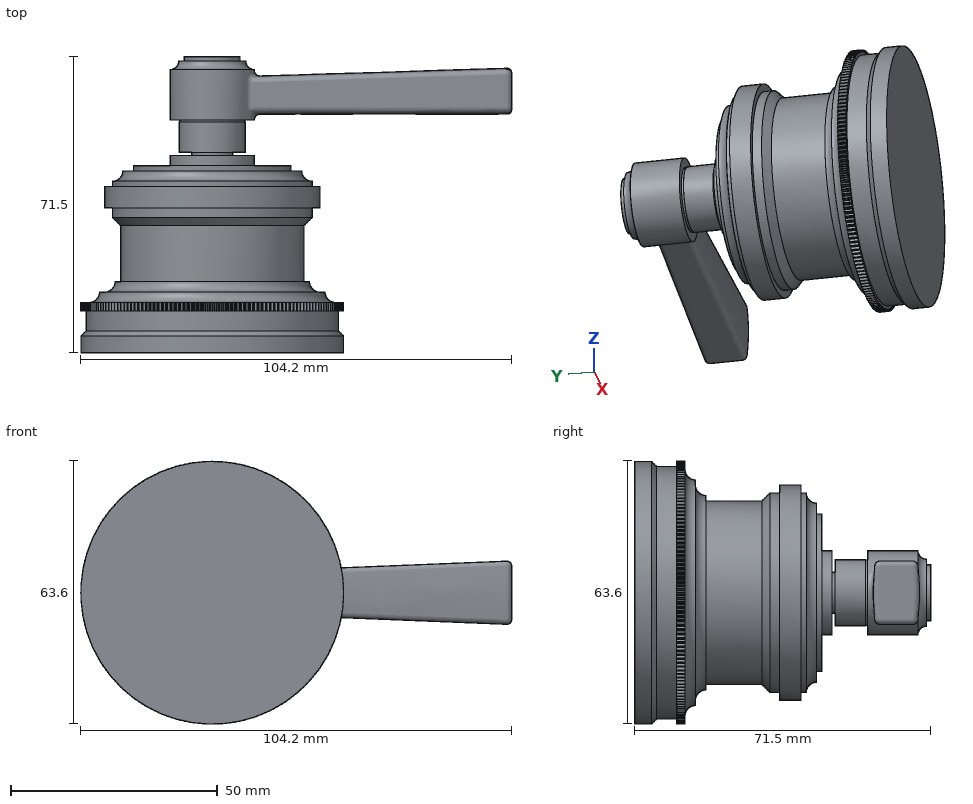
import cadquery as cq
import math


base_radius = 31.8
base_rim_end = 4.1
base_groove_depth = 1.2
base_bevel_end = base_rim_end + base_groove_depth
base_groove_radius = base_radius - base_groove_depth

ring_start = 10.1
ring_width = 2.1
ring_end = ring_start + ring_width
tooth_count = 180
tooth_depth = 0.5
tooth_flat_share = 0.15

cove_radius = 2.5
cove_step = 1.2
barrel_cove_radius = 23.5
outer_cove_radius = barrel_cove_radius + cove_radius + cove_step
outer_cove_end = ring_end + cove_radius
barrel_cove_end = outer_cove_end + cove_radius
barrel_radius = 22.2
barrel_end = 30.7

shoulder_radius = 24.2
shoulder_bevel = shoulder_radius - barrel_radius
collar_radius = 26.0
disc_thickness = 1.2
collar_start = 35.0
collar_end = 40.2
shoulder_start = barrel_end + shoulder_bevel
shoulder_end = collar_end + disc_thickness
top_cove_end = shoulder_end + cove_radius
top_disc_radius = 19.1
top_disc_end = top_cove_end + disc_thickness

flange_radius = 10.2
flange_end = 47.7
neck_radius = 5.0
neck_end = 48.4
stem_radius = 8.0
stem_end = 55.7
undercut_radius = 7.9

hub_radius = 10.2
hub_start = 56.2
hub_end = 68.4
hub_cove_radius = 2.1
hub_cove_end = hub_end + hub_cove_radius
cap_radius = 6.8
cap_end = 71.5

lever_tip = 72.4
lever_front = 57.6
lever_root_back = 66.5
lever_tip_back = 68.8
lever_root_half_height = 4.8
lever_tip_half_height = 7.7
lever_crown = 0.5
lever_edge_radius = 1.2
lever_root_fillet = 1.2

joint_margin = 0.1


def cove(profile, start_radius, start_y, radius):
    """Continue a profile with a concave quarter round, inwards and towards +Y."""
    sag = radius * (1 - math.sqrt(0.5))
    middle = (start_radius - radius + sag, start_y + sag)
    return profile.threePointArc(middle, (start_radius - radius, start_y + radius))


def make_body():
    profile = (
        cq.Workplane("XY")
        .lineTo(base_radius, 0)
        .lineTo(base_radius, base_rim_end)
        .lineTo(base_groove_radius, base_bevel_end)
        .lineTo(base_groove_radius, ring_end)
        .lineTo(outer_cove_radius + cove_radius, ring_end)
    )
    profile = cove(profile, outer_cove_radius + cove_radius, ring_end, cove_radius)
    profile = profile.lineTo(barrel_cove_radius + cove_radius, outer_cove_end)
    profile = cove(profile, barrel_cove_radius + cove_radius, outer_cove_end, cove_radius)
    profile = (
        profile.lineTo(barrel_radius, barrel_cove_end)
        .lineTo(barrel_radius, barrel_end)
        .lineTo(shoulder_radius, shoulder_start)
        .lineTo(shoulder_radius, collar_start)
        .lineTo(collar_radius, collar_start)
        .lineTo(collar_radius, collar_end)
        .lineTo(shoulder_radius, collar_end)
        .lineTo(shoulder_radius, shoulder_end)
    )
    profile = cove(profile, shoulder_radius, shoulder_end, cove_radius)
    profile = (
        profile.lineTo(top_disc_radius, top_cove_end)
        .lineTo(top_disc_radius, top_disc_end)
        .lineTo(flange_radius, top_disc_end)
        .lineTo(flange_radius, flange_end)
        .lineTo(neck_radius, flange_end)
        .lineTo(neck_radius, neck_end)
        .lineTo(stem_radius, neck_end)
        .lineTo(stem_radius, stem_end)
        .lineTo(undercut_radius, stem_end)
        .lineTo(undercut_radius, hub_start)
        .lineTo(0, hub_start)
        .close()
    )
    return profile.revolve(360, (0, 0), (0, 1))


def make_hub():
    return (
        cq.Workplane("XZ", origin=(0, hub_start, 0))
        .circle(hub_radius)
        .extrude(hub_start - hub_end)
    )


def make_hub_cap():
    profile = cq.Workplane("XY").moveTo(0, hub_end).lineTo(hub_radius, hub_end)
    profile = cove(profile, hub_radius, hub_end, hub_cove_radius)
    profile = (
        profile.lineTo(cap_radius, hub_cove_end)
        .lineTo(cap_radius, cap_end)
        .lineTo(0, cap_end)
        .close()
    )
    return profile.revolve(360, (0, 0), (0, 1))


def make_knurled_ring():
    """Ring with narrow flat-topped teeth all round."""
    tooth_angle = 2 * math.pi / tooth_count
    flat_angle = tooth_angle * tooth_flat_share
    points = []
    for tooth in range(tooth_count):
        crest_angle = tooth * tooth_angle
        root_angle = crest_angle + tooth_angle / 2
        for middle_angle, radius in ((crest_angle, base_radius), (root_angle, base_radius - tooth_depth)):
            for angle in (middle_angle - flat_angle / 2, middle_angle + flat_angle / 2):
                points.append((radius * math.cos(angle), radius * math.sin(angle)))
    return cq.Workplane("XZ", origin=(0, ring_start, 0)).polyline(points).close().extrude(-ring_width)


def lever_section(plane, back, half_height):
    """Rectangle whose front and back sides are crowned outwards."""
    front_corner = lever_front + lever_crown
    back_corner = back - lever_crown
    return (
        plane.moveTo(front_corner, -half_height)
        .threePointArc((lever_front, 0), (front_corner, half_height))
        .lineTo(back_corner, half_height)
        .threePointArc((back, 0), (back_corner, -half_height))
        .close()
    )


def make_lever():
    """Bar widening from the hub axis to the tip, with rounded edges."""
    root = lever_section(cq.Workplane("YZ"), lever_root_back, lever_root_half_height)
    bar = lever_section(root.workplane(offset=lever_tip), lever_tip_back, lever_tip_half_height)
    return bar.loft(ruled=True).faces("not <X").edges("not <X").fillet(lever_edge_radius)


def make_hub_with_lever():
    """Hub and lever, blended where the lever leaves the hub."""
    joint_box = cq.selectors.BoxSelector(
        (joint_margin, hub_start + joint_margin, -hub_radius),
        (hub_radius + joint_margin, hub_end - joint_margin, hub_radius),
        boundingbox=True,
    )
    return make_hub().union(make_lever()).edges(joint_box).fillet(lever_root_fillet)


result = (
    make_body()
    .union(make_knurled_ring())
    .union(make_hub_with_lever())
    .union(make_hub_cap())
)